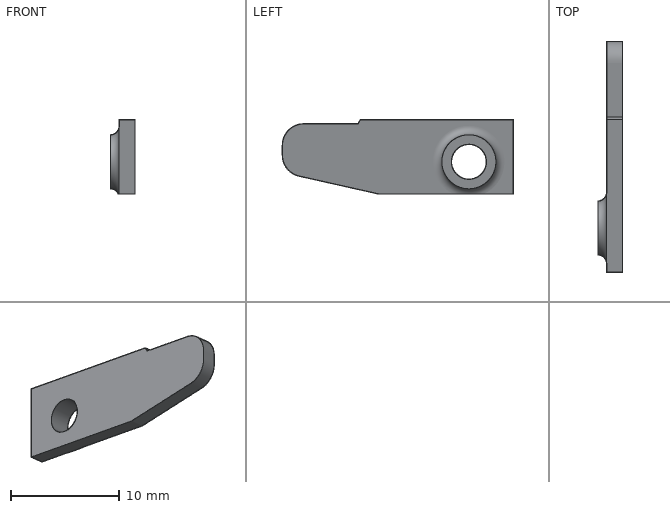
import cadquery as cq

length = 21.33
height = 6.9
plate_thickness = 1.5

tip_corner_radius = 2.0
tip_top_z = 6.5
step_start_y = 14.12
step_end_y = 14.33
taper_start_y = 12.41
taper_end_z = 2.0

total_thickness = 2.3
boss_height = total_thickness - plate_thickness
boss_y = 4.1
boss_z = 2.99
boss_radius = 2.5
hole_radius = 1.6
flare_radius = boss_height
flare_outer_radius = boss_radius + flare_radius


def yz_plane(x):
    """Sketch plane at the given X, with local axes along global Y and Z."""
    return cq.Workplane("YZ", origin=(x, 0, 0))


def make_plate():
    outline = [
        (0, 0),
        (taper_start_y, 0),
        (length, taper_end_z),
        (length, tip_top_z),
        (step_end_y, tip_top_z),
        (step_start_y, height),
        (0, height),
    ]
    plate = yz_plane(0).polyline(outline).close().extrude(plate_thickness)
    return plate.edges("|X and >Y").fillet(tip_corner_radius)


def make_boss():
    """Revolved boss with a concave quarter-round flare, trimmed at the plate's lower edge."""
    arc_offset = flare_radius * (1 - 0.5**0.5)
    profile = (
        cq.Workplane("XY")
        .moveTo(0, 0)
        .lineTo(-boss_height, 0)
        .lineTo(-boss_height, boss_radius)
        .threePointArc((-arc_offset, boss_radius + arc_offset), (0, flare_outer_radius))
        .close()
    )
    boss = profile.revolve(360, (0, 0, 0), (1, 0, 0)).translate((0, boss_y, boss_z))
    plate_bounds = yz_plane(-boss_height).rect(length, height, centered=False).extrude(boss_height)
    return boss.intersect(plate_bounds)


hole = yz_plane(-boss_height).center(boss_y, boss_z).circle(hole_radius).extrude(total_thickness)
result = make_plate().union(make_boss()).cut(hole)